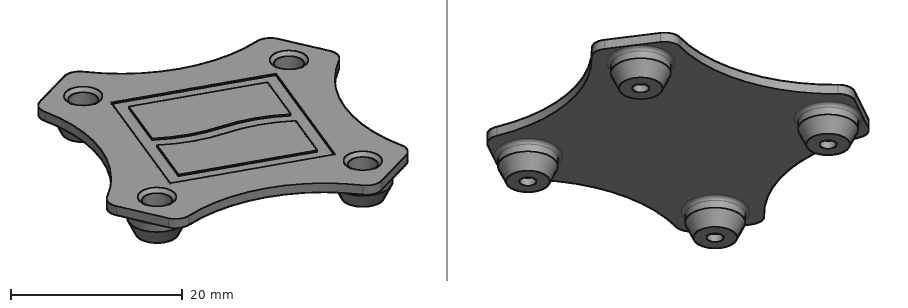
import cadquery as cq
import math

span = 44.0
plate_thickness = 1.25
arm_width = 10.0
bite_radius = 20.0
arm_corner_radius = 2.0

total_height = 4.75
foot_distance = 18.0
foot_diameter = 7.0
foot_end_diameter = 5.05
foot_straight_height = 1.5
foot_root_fillet = 0.5

screw_diameter = 2.0
head_diameter = 3.5
head_chamfer = 0.5
seat_thickness = 1.0

recess_depth = 0.2
border_outer_side = 20.35
border_inner_side = 17.15
band_width = 1.65
band_offset = -0.3
band_wave = 0.55

half_span = span / 2
foot_positions = [
    (foot_distance, 0),
    (0, foot_distance),
    (-foot_distance, 0),
    (0, -foot_distance),
]


def make_plate():
    """Four-armed plate with its top face at z = 0."""
    half_arm = arm_width / 2
    half_chord = (half_span - half_arm) / math.sqrt(2)
    chord_middle = (half_span + half_arm) / 2
    centre_rise = math.sqrt(bite_radius**2 - half_chord**2)
    bite_centre = chord_middle + centre_rise / math.sqrt(2)

    blank = cq.Workplane("XY").rect(span, span).extrude(-plate_thickness)
    bites = (
        cq.Workplane("XY")
        .rect(2 * bite_centre, 2 * bite_centre, forConstruction=True)
        .vertices()
        .circle(bite_radius)
        .extrude(-plate_thickness)
    )
    return blank.cut(bites).edges("|Z").fillet(arm_corner_radius)


def make_foot():
    """Foot on the Z axis: flared root, straight post and tapered end."""
    radius = foot_diameter / 2
    root_radius = radius + foot_root_fillet
    flare_bottom = -plate_thickness - foot_root_fillet
    flare_bulge = foot_root_fillet * (1 - math.sqrt(0.5))
    flare_middle = (radius + flare_bulge, -plate_thickness - flare_bulge)
    return (
        cq.Workplane("XZ")
        .moveTo(0, -plate_thickness)
        .lineTo(root_radius, -plate_thickness)
        .threePointArc(flare_middle, (radius, flare_bottom))
        .lineTo(radius, -plate_thickness - foot_straight_height)
        .lineTo(foot_end_diameter / 2, -total_height)
        .lineTo(0, -total_height)
        .close()
        .revolve(360, (0, 0, 0), (0, 1, 0))
    )


def make_screw_hole():
    """Cutter on the Z axis: chamfered head bore above a through hole."""
    head_radius = head_diameter / 2
    screw_radius = screw_diameter / 2
    seat_level = seat_thickness - total_height
    return (
        cq.Workplane("XZ")
        .lineTo(head_radius + head_chamfer, 0)
        .lineTo(head_radius, -head_chamfer)
        .lineTo(head_radius, seat_level)
        .lineTo(screw_radius, seat_level)
        .lineTo(screw_radius, -total_height)
        .lineTo(0, -total_height)
        .close()
        .revolve(360, (0, 0, 0), (0, 1, 0))
    )


def make_diamond_recess():
    """Cutter for the border and the S-shaped band, turned 45 degrees."""
    half_inner = border_inner_side / 2
    quarter = half_inner / 2
    upper = band_offset + band_width / 2
    lower = band_offset - band_width / 2
    border = (
        cq.Workplane("XY")
        .rect(border_outer_side, border_outer_side)
        .rect(border_inner_side, border_inner_side)
        .extrude(-recess_depth)
    )
    band = (
        cq.Workplane("XY")
        .moveTo(-half_inner, upper)
        .threePointArc((-quarter, upper - band_wave), (0, upper))
        .threePointArc((quarter, upper + band_wave), (half_inner, upper))
        .lineTo(half_inner, lower)
        .threePointArc((quarter, lower + band_wave), (0, lower))
        .threePointArc((-quarter, lower - band_wave), (-half_inner, lower))
        .close()
        .extrude(-recess_depth)
    )
    return border.union(band).rotate((0, 0, 0), (0, 0, 1), 45)


result = make_plate()
for x, y in foot_positions:
    result = result.union(make_foot().translate((x, y, 0)))
for x, y in foot_positions:
    result = result.cut(make_screw_hole().translate((x, y, 0)))
result = result.cut(make_diamond_recess())